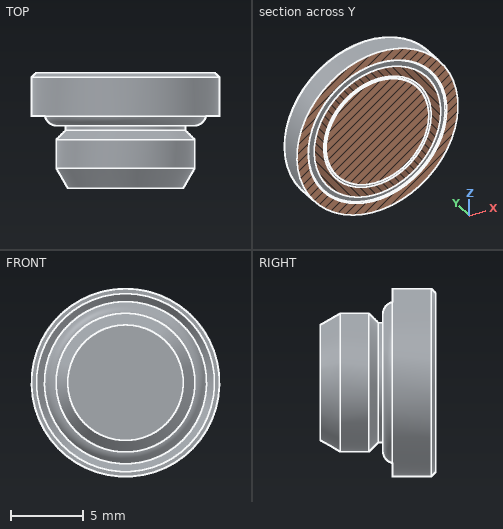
import cadquery as cq

head_radius = 6.5
total_length = 8.0
head_thickness = 3.0
rear_chamfer = 0.31
recess_mouth_radius = 6.15
recess_floor_radius = 5.5
neck_radius = 4.15
nose_radius = 4.8
nose_tip_radius = 3.99
nose_tip_length = 1.4
nose_straight_length = 1.96
ring_outer_radius = 5.6
ring_section_radius = 0.9
ring_protrusion = 0.68

rear_y = total_length / 2
head_face_y = rear_y - head_thickness
tip_y = -total_length / 2
nose_front_y = tip_y + nose_tip_length
nose_rear_y = nose_front_y + nose_straight_length
neck_front_y = nose_rear_y + (nose_radius - neck_radius)

ring_front_y = head_face_y - ring_protrusion
ring_centre_y = ring_front_y + ring_section_radius
recess_floor_y = ring_front_y + 2 * ring_section_radius
ring_centre_radius = ring_outer_radius - ring_section_radius


def revolve_about_y(profile):
    """Turn an YZ half-profile a full revolution about the Y axis."""
    return profile.revolve(360, (0, 0, 0), (1, 0, 0))


def make_plug():
    """Flanged plug with a tapered seal recess, a neck with a ring seat and a tapered nose."""
    profile = (
        cq.Workplane("YZ")
        .moveTo(tip_y, 0)
        .lineTo(tip_y, nose_tip_radius)
        .lineTo(nose_front_y, nose_radius)
        .lineTo(nose_rear_y, nose_radius)
        .lineTo(neck_front_y, neck_radius)
        .lineTo(recess_floor_y, neck_radius)
        .lineTo(recess_floor_y, recess_floor_radius)
        .lineTo(head_face_y, recess_mouth_radius)
        .lineTo(head_face_y, head_radius)
        .lineTo(rear_y - rear_chamfer, head_radius)
        .lineTo(rear_y, head_radius - rear_chamfer)
        .lineTo(rear_y, 0)
        .close()
    )
    return revolve_about_y(profile).cut(make_seal_ring())


def make_seal_ring():
    """Round-section sealing ring seated in the neck."""
    section = cq.Workplane("YZ").moveTo(ring_centre_y, ring_centre_radius).circle(ring_section_radius)
    return revolve_about_y(section)


plug = make_plug()
seal_ring = make_seal_ring()

result = cq.Compound.makeCompound([plug.val(), seal_ring.val()])